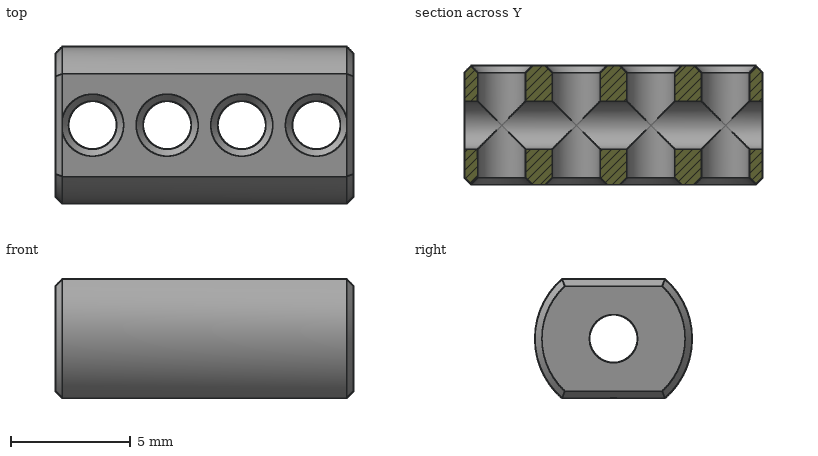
import cadquery as cq

hole_count = 4
hole_pitch = 3.125
round_diameter = 6.6
height = 5.0
hole_diameter = 2.0
chamfer = 0.3

countersink_angle = 90.0

length = hole_count * hole_pitch
countersink_diameter = hole_diameter + 2 * chamfer
first_hole_x = -(hole_count - 1) * hole_pitch / 2
hole_positions = [(first_hole_x + i * hole_pitch, 0) for i in range(hole_count)]


def make_rod(diameter):
    """Full-length cylinder along X, centred on the origin."""
    return cq.Workplane("YZ", origin=(-length / 2, 0, 0)).circle(diameter / 2).extrude(length)


def make_body():
    """Cylinder along X, cut to flats on top and bottom, bevelled at both ends."""
    cylinder = make_rod(round_diameter)
    flats = cq.Workplane("XY").box(length, round_diameter, height)
    return cylinder.intersect(flats).faces("<X or >X").chamfer(chamfer)


def cut_cross_holes(body):
    """Row of vertical through holes, countersunk on the top and bottom flats."""
    for flat in (">Z", "<Z"):
        body = (
            body.faces(flat)
            .workplane(origin=(0, 0, 0))
            .pushPoints(hole_positions)
            .cskHole(hole_diameter, countersink_diameter, countersink_angle)
        )
    return body


def cut_axial_bore(body):
    """Plain bore along the full length, crossing every vertical hole."""
    return body.cut(make_rod(hole_diameter))


result = cut_axial_bore(cut_cross_holes(make_body()))